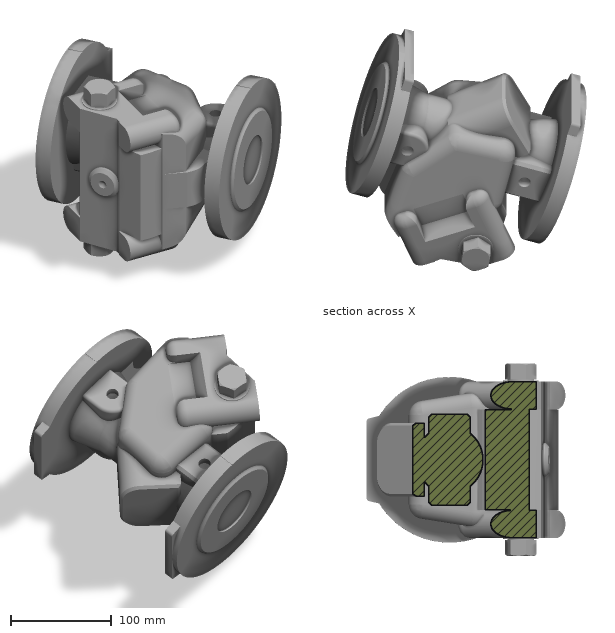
import cadquery as cq

overall_length = 203.0
flange_diameter = 164.8
flange_radius = flange_diameter / 2
flange_thickness = 15.8
raised_face_radius = 53.0
raised_face_height = 3.0
raised_face_bevel = 2.8
bore_diameter = 50.8
bore_depth = 2.0
flange_outer_x = overall_length / 2 - raised_face_height
flange_inner_x = flange_outer_x - flange_thickness
neck_end_radius = 41.6
neck_radius = 33.0
neck_taper_x = 50.8

tab_half_width = 40.5
tab_root_half_width = 43.6
tab_root_y = 69.6
tab_thickness = 9.5
tab_edge_radius = 3.0

rim_groove_width = 2.0
rim_groove_depth = 0.6

pad_height = 45.3
pad_half_width = 21.1
pad_edge = 3.0
pad_hole_x = 61.5
pad_hole_radius = 6.0
pad_hole_depth = 8.1
pad_hole_tip = 3.7

body_height = 63.0
body_top_slope = 11.0
body_corner_radius = 15.2
body_rim_radius = 14.2
rib_half_height = 20.3

branch_angle = 135.0
branch_length = 63.1
branch_side = 41.6
branch_inner_side = 19.3
branch_corner_radius = 20.7
branch_half_height = 36.5
branch_end_bevel = 2.6

cover_angle = -40.0
cover_half_height = 77.7
column_spacing = 73.0
column_radius = 13.8
column_inner_z = cover_half_height - 2 * column_radius
column_axis_z = cover_half_height - column_radius
column_rear_y = -18.3
column_rear_rounding = 9.1
column_inner_width = 10.2
cover_middle_x = column_spacing / 2
left_column_end_y = -99.9
right_column_end_y = -77.5
sill_overhang = 3.7
sill_right_overhang = 1.8
sill_rear_y = -56.8
sill_front_y = -67.0
sill_left_x = -column_radius - sill_overhang
sill_right_x = column_spacing + column_radius + sill_right_overhang
slope_left_x = 22.3
slope_right_x = 56.2
slope_end_y = -76.5
cheek_flat_width = 6.0

pocket_floor_rear_y = -40.5
pocket_front_y = -50.8

plug_x = -34.5
plug_y = -70.8
plug_corner_diameter = 31.7
plug_top_z = 95.51
plug_base_z = 79.5
plug_washer_radius = 17.5
plug_washer_height = 1.0
plug_neck_radius = 13.4
plug_top_radius = 13.8
plug_top_bevel = 1.2

boss_x = -19.5
boss_y = -93.8
boss_tilt = 4.0
boss_base_radius = 16.6
boss_top_radius = 13.0
boss_rim_height = 2.0
boss_height = 5.3
boss_hole_radius = 4.3
boss_hole_depth = 4.0


def both_ends(shape):
    """Join a shape with its mirror image across the XY plane."""
    return shape.union(shape.mirror("XY"))


def turn_to_cover(shape):
    """Turn a shape from the cover's own frame into the part frame."""
    return shape.rotate((0, 0, 0), (0, 0, 1), cover_angle)


def prism(outline, z_low, z_high):
    """Extrude a closed XY outline between two heights."""
    return outline.extrude(z_high - z_low).translate((0, 0, z_low))


def cylinder_x(radius, x_start, x_end):
    return cq.Workplane("YZ", origin=(x_start, 0, 0)).circle(radius).extrude(x_end - x_start)


def make_flange():
    """Flange at the +X end with raised face, rim tab and rim groove."""
    disc = cylinder_x(flange_radius, flange_inner_x, flange_outer_x)
    face = cylinder_x(raised_face_radius, flange_outer_x, overall_length / 2)
    face = face.faces(">X").edges().chamfer(raised_face_bevel)
    tab = (
        cq.Workplane("YZ", origin=(flange_inner_x, 0, 0))
        .moveTo(0, -tab_root_half_width)
        .lineTo(tab_root_y, -tab_root_half_width)
        .lineTo(flange_radius, -tab_half_width)
        .lineTo(flange_radius, tab_half_width)
        .lineTo(tab_root_y, tab_root_half_width)
        .lineTo(0, tab_root_half_width)
        .close()
        .extrude(tab_thickness)
        .edges("|X and >Y")
        .fillet(tab_edge_radius)
    )
    groove = cq.Workplane("XY").box(3 * flange_thickness, rim_groove_width, 2 * rim_groove_depth)
    groove = groove.translate((flange_outer_x, rim_groove_width / 2, flange_radius))
    return disc.cut(groove).union(face).union(tab)


def make_necks():
    """Turned pipe run that widens towards both flanges."""
    half_profile = [(0, 0), (0, neck_radius), (neck_taper_x, neck_radius)]
    half_profile += [(flange_inner_x, neck_end_radius), (flange_inner_x, 0)]
    right = cq.Workplane("XY").polyline(half_profile).close().revolve(360, (0, 0, 0), (1, 0, 0))
    return right.union(right.mirror("YZ"))


def make_left_pad():
    pad = cq.Workplane("XY").rect(flange_inner_x, 2 * pad_half_width)
    pad = prism(pad, 0, pad_height).translate((-flange_inner_x / 2, 0, 0))
    return both_ends(pad.faces(">Z").edges("|X").chamfer(pad_edge))


def make_right_pad():
    outline = (
        cq.Workplane("XY")
        .moveTo(flange_inner_x, -pad_half_width)
        .lineTo(pad_hole_x, -pad_half_width)
        .threePointArc((pad_hole_x - pad_half_width, 0), (pad_hole_x, pad_half_width))
        .lineTo(flange_inner_x, pad_half_width)
        .close()
    )
    pad = prism(outline, 0, pad_height)
    return both_ends(pad.faces(">Z").edges("not >X").fillet(pad_edge))


def make_pad_hole(x):
    """Drilled hole with a conical bottom, at both the upper and the lower pad."""
    bottom_z = pad_height - pad_hole_depth
    profile = [(0, pad_height), (pad_hole_radius, pad_height), (pad_hole_radius, bottom_z)]
    profile += [(0, bottom_z - pad_hole_tip)]
    hole = cq.Workplane("XZ").polyline(profile).close().revolve(360, (0, 0, 0), (0, 1, 0))
    return both_ends(hole.translate((x, 0, 0)))


def make_body():
    """Chamber with a rounded rim, whose top and bottom fall away from the cover."""
    outline = [(-46.7, -28.5), (-40.5, 42.6), (24.4, 33.5), (59.9, -18.3), (59.9, -75.1), (40.5, -89.3), (-20.3, -61)]
    body = prism(cq.Workplane("XY").polyline(outline).close(), 0, flange_radius + pad_edge)
    exposed_corners = cq.selectors.BoxSelector((-81.2, -24.4, 0), (81.2, 121.8, flange_radius))
    body = body.edges(exposed_corners).edges("|Z").fillet(body_corner_radius)
    size = 2 * overall_length
    above = cq.Workplane("XY").box(size, size, body_height, centered=(True, True, False))
    above = above.rotate((0, 0, 0), (1, 0, 0), -body_top_slope)
    body = body.cut(turn_to_cover(above.translate((0, column_rear_y, body_height))))
    exposed_rim = cq.selectors.BoxSelector((-81.2, -56.8, neck_radius), (81.2, 121.8, flange_radius))
    return both_ends(body.edges(exposed_rim).fillet(body_rim_radius))


def make_rib():
    """Web that joins the chamber to the right flange."""
    outline = (
        cq.Workplane("XY")
        .moveTo(flange_inner_x, 0)
        .lineTo(flange_inner_x, -53.8)
        .lineTo(77.7, -49.1)
        .threePointArc((73.7, -50.8), (71.7, -54.8))
        .threePointArc((69, -67), (62.0, -76.1))
        .lineTo(40.5, -89.3)
        .lineTo(40.5, 0)
        .close()
    )
    return prism(outline, -rib_half_height, rib_half_height)


def make_branch():
    """Rounded strainer branch, square to its own end face."""
    section = (
        cq.Workplane("YZ")
        .center((branch_inner_side - branch_side) / 2, 0)
        .rect(branch_side + branch_inner_side, 2 * branch_half_height)
        .extrude(branch_length)
        .edges("|X and <Y")
        .fillet(branch_corner_radius)
        .faces(">X")
        .edges()
        .chamfer(branch_end_bevel)
    )
    return section.rotate((0, 0, 0), (0, 0, 1), branch_angle)


def make_column(x, side, end_y):
    """Bolt column with a half-round outer side and a rounded rear end; side is -1 or +1."""
    section = (
        cq.Workplane("XZ", origin=(x, column_rear_y, 0))
        .moveTo(-side * column_inner_width, column_inner_z)
        .lineTo(0, column_inner_z)
        .threePointArc((side * column_radius, column_axis_z), (0, cover_half_height))
        .lineTo(-side * column_inner_width, cover_half_height)
        .close()
    )
    column = section.extrude(column_rear_y - end_y)
    return both_ends(column.faces(">Y").edges().fillet(column_rear_rounding))


def make_cover():
    """Cover block with full-height middle, bolt columns and side sills."""
    left_bottom = (slope_left_x, left_column_end_y)
    core_rear_y = column_rear_y - column_rear_rounding
    core_outline = [(0, core_rear_y), (0, left_column_end_y), left_bottom]
    core_outline += [(slope_right_x, slope_end_y), (column_spacing, right_column_end_y)]
    core_outline += [(column_spacing, core_rear_y)]
    core = cq.Workplane("XY").polyline(core_outline).close()
    core = prism(core, -cover_half_height, cover_half_height)

    cheeks = (
        cq.Workplane("XY")
        .moveTo(sill_left_x, sill_rear_y)
        .lineTo(sill_left_x, sill_front_y)
        .threePointArc((0, -87.3), left_bottom)
        .lineTo(slope_right_x, slope_end_y)
        .lineTo(slope_right_x + cheek_flat_width, slope_end_y)
        .lineTo(sill_right_x, sill_front_y)
        .lineTo(sill_right_x, sill_rear_y)
        .lineTo(sill_right_x - sill_overhang, column_rear_y)
        .lineTo(sill_left_x + sill_overhang, column_rear_y)
        .close()
    )
    cheeks = prism(cheeks, -column_inner_z, column_inner_z)
    front_gap = cq.Workplane("XY").box(overall_length, overall_length, 2 * column_inner_z)
    front_gap = front_gap.translate((cover_middle_x, sill_rear_y - overall_length / 2, 0))
    cover = core.cut(front_gap).union(cheeks)
    cover = cover.union(make_column(0, -1, left_column_end_y))
    cover = cover.union(make_column(column_spacing, 1, right_column_end_y))
    return turn_to_cover(cover)


def make_pocket():
    """Pocket with a sloping front wall, between the columns at top and bottom."""
    pocket_width = column_spacing - 2 * column_inner_width
    pocket = (
        cq.Workplane("YZ")
        .moveTo(column_rear_y, body_height)
        .lineTo(pocket_floor_rear_y, body_height)
        .lineTo(pocket_front_y, cover_half_height)
        .lineTo(column_rear_y, cover_half_height)
        .close()
        .extrude(pocket_width)
        .translate((column_inner_width, 0, 0))
    )
    return turn_to_cover(both_ends(pocket))


def make_plugs():
    """Hexagon plugs on the top and bottom of the cover."""
    washer = cq.Workplane("XY").circle(plug_washer_radius).extrude(cover_half_height + plug_washer_height)
    neck = cq.Workplane("XY").circle(plug_neck_radius).extrude(plug_base_z)
    head = cq.Workplane("XY").polygon(6, plug_corner_diameter)
    head = prism(head, plug_base_z, plug_top_z)
    crown = cq.Workplane("XY").circle(plug_corner_diameter / 2).extrude(plug_top_z)
    crown = crown.faces(">Z").edges().chamfer(plug_top_bevel, plug_corner_diameter / 2 - plug_top_radius)
    plug = washer.union(neck).union(head.intersect(crown))
    plug = plug.cut(cq.Workplane("XY").box(4 * plug_washer_radius, 4 * plug_washer_radius, 2 * pad_height))
    return both_ends(turn_to_cover(plug).translate((plug_x, plug_y, 0)))


def make_boss():
    """Stepped round boss on the sloping cover front, with its conical hole."""
    profile = [(0, -boss_height), (boss_base_radius, -boss_height), (boss_base_radius, boss_rim_height)]
    profile += [(boss_top_radius, boss_height), (boss_hole_radius, boss_height)]
    profile += [(0, boss_height - boss_hole_depth)]
    boss = cq.Workplane("XY").polyline(profile).close().revolve(360, (0, 0, 0), (0, 1, 0))
    boss = boss.rotate((0, 0, 0), (0, 0, 1), 180 - boss_tilt)
    return boss.translate((boss_x, boss_y, 0))


right_flange = make_flange()
result = make_body().union(make_cover()).cut(make_pocket())
for piece in (
    right_flange,
    right_flange.mirror("YZ"),
    make_necks(),
    make_left_pad(),
    make_right_pad(),
    make_rib(),
    make_branch(),
    make_plugs(),
    make_boss(),
):
    result = result.union(piece)
for hole_x in (-pad_hole_x, pad_hole_x):
    result = result.cut(make_pad_hole(hole_x))
for end_x in (-overall_length / 2, overall_length / 2 - bore_depth):
    result = result.cut(cylinder_x(bore_diameter / 2, end_x, end_x + bore_depth))